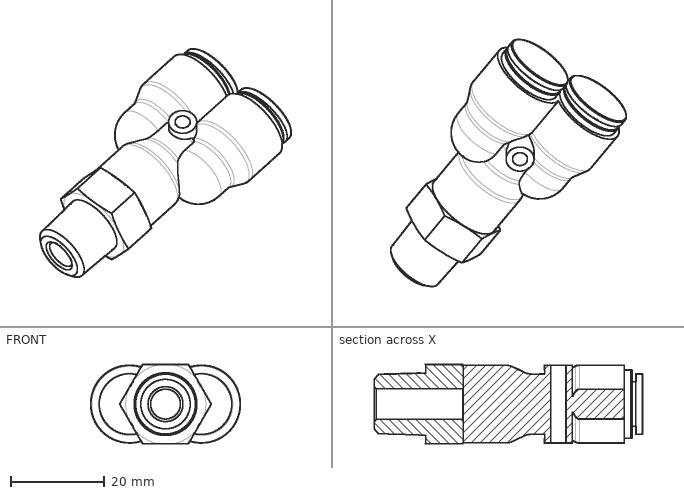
import cadquery as cq
import math


BODY_DIAMETER = 16.7
WAIST_DIAMETER = 13.0
BRANCH_OFFSET = 7.7

SEAM_ANGLE = 60.0

HOUSING_START = 19.0
HOUSING_END = 53.6
STEM_CONE_LARGE = 29.0
STEM_CONE_SMALL = 33.0
STEM_END = 39.5
STEM_END_FILLET = 1.0
DOME_CENTER = 36.0
BRANCH_CONE_SMALL = 39.55
BRANCH_CONE_LARGE = 43.55
CONE_FILLET = 2.0

EYE_Y = STEM_END
EYE_DIAMETER = 6.0
EYE_HOLE_DIAMETER = 3.2

INSERT_DIAMETER = 14.7
INSERT_LENGTH = 1.7
INSERT_CHAMFER_LENGTH = 0.3
INSERT_CHAMFER_DEPTH = 0.1

NECK_DIAMETER = 9.6
NECK_LENGTH = 0.8
FLANGE_WIDTH = 15.0
FLANGE_HEIGHT = 13.0
FLANGE_THICKNESS = 1.5
FLANGE_CHAMFER = 0.2

HEX_ACROSS_FLATS = 17.0
HEX_LENGTH = 8.0
HEX_CHAMFER_DIAMETER = 17.2
HEX_CHAMFER_ANGLE = 15.0
THREAD_LENGTH = HOUSING_START - HEX_LENGTH
THREAD_ROOT_DIAMETER = 13.45
THREAD_TAPER = 1 / 16
TIP_CHAMFER_LENGTH = 0.9
TIP_FACE_DIAMETER = 10.6
BORE_DIAMETER = 6.4
BORE_MOUTH_DIAMETER = 7.5
BORE_CHAMFER = 0.5
BORE_DEPTH = HOUSING_START


def revolve_on_y(profile):
    """Turn a closed XY profile around the Y axis, with the seam line tilted off the planes of symmetry."""
    turned = profile.close().revolve(360, (0, 0, 0), (0, 1, 0))
    return turned.rotate((0, 0, 0), (0, 1, 0), SEAM_ANGLE)


def cylinder_on_y(diameter, start, length):
    """Cylinder around the Y axis from Y = start towards +Y."""
    disc = cq.Workplane("XZ", origin=(0, start, 0)).circle(diameter / 2)
    return disc.extrude(-length)


def add_cone(profile, start, end):
    """Continue a profile over a cone from start to end, blended into the Y-parallel lines beside it."""
    run = end[0] - start[0]
    rise = end[1] - start[1]
    slant = math.hypot(run, rise)
    tangent = CONE_FILLET * math.tan(math.acos(rise / slant) / 2)
    step_out = tangent * run / slant
    step_up = tangent * rise / slant
    return (
        profile.lineTo(start[0], start[1] - tangent)
        .tangentArcPoint((start[0] + step_out, start[1] + step_up), relative=False)
        .lineTo(end[0] - step_out, end[1] - step_up)
        .tangentArcPoint((end[0], end[1] + tangent), relative=False)
    )


def make_stem():
    body_radius = BODY_DIAMETER / 2
    waist_radius = WAIST_DIAMETER / 2
    profile = cq.Workplane("XY").moveTo(0, HOUSING_START).lineTo(body_radius, HOUSING_START)
    profile = add_cone(profile, (body_radius, STEM_CONE_LARGE), (waist_radius, STEM_CONE_SMALL))
    return revolve_on_y(
        profile.lineTo(waist_radius, STEM_END - STEM_END_FILLET)
        .tangentArcPoint((waist_radius - STEM_END_FILLET, STEM_END), relative=False)
        .lineTo(0, STEM_END)
    )


def make_branch(center_x):
    body_radius = BODY_DIAMETER / 2
    waist_radius = WAIST_DIAMETER / 2
    dome_bulge = waist_radius * math.sqrt(0.5)
    profile = (
        cq.Workplane("XY")
        .moveTo(0, DOME_CENTER - waist_radius)
        .threePointArc((dome_bulge, DOME_CENTER - dome_bulge), (waist_radius, DOME_CENTER))
    )
    profile = add_cone(profile, (waist_radius, BRANCH_CONE_SMALL), (body_radius, BRANCH_CONE_LARGE))
    profile = profile.lineTo(body_radius, HOUSING_END).lineTo(0, HOUSING_END)
    return revolve_on_y(profile).translate((center_x, 0, 0))


def make_housing():
    eye_plane = cq.Workplane("XY", origin=(0, EYE_Y, 0))
    eye = eye_plane.circle(EYE_DIAMETER / 2).extrude(BODY_DIAMETER / 2, both=True)
    eye_hole = eye_plane.circle(EYE_HOLE_DIAMETER / 2).extrude(BODY_DIAMETER, both=True)
    housing = make_stem()
    for side in (-1, 1):
        housing = housing.union(make_branch(side * BRANCH_OFFSET))
    return housing.union(eye).cut(eye_hole)


def make_insert(center_x):
    radius = INSERT_DIAMETER / 2
    end = HOUSING_END + INSERT_LENGTH
    profile = (
        cq.Workplane("XY")
        .moveTo(0, HOUSING_END)
        .lineTo(radius, HOUSING_END)
        .lineTo(radius, end - INSERT_CHAMFER_LENGTH)
        .lineTo(radius - INSERT_CHAMFER_DEPTH, end)
        .lineTo(0, end)
    )
    return revolve_on_y(profile).translate((center_x, 0, 0))


def make_button(center_x):
    neck_start = HOUSING_END + INSERT_LENGTH
    flange_start = neck_start + NECK_LENGTH
    neck = cylinder_on_y(NECK_DIAMETER, neck_start, NECK_LENGTH)
    flange = (
        cq.Workplane("XZ", origin=(0, flange_start, 0))
        .ellipse(FLANGE_WIDTH / 2, FLANGE_HEIGHT / 2)
        .extrude(-FLANGE_THICKNESS)
        .faces(">Y")
        .edges()
        .chamfer(FLANGE_CHAMFER)
    )
    return neck.union(flange).translate((center_x, 0, 0))


def make_hex():
    """Hexagon with corners on X, both ends turned to a shallow cone."""
    corner_radius = HEX_ACROSS_FLATS / math.sqrt(3)
    chamfer_radius = HEX_CHAMFER_DIAMETER / 2
    chamfer_length = (corner_radius - chamfer_radius) * math.tan(math.radians(HEX_CHAMFER_ANGLE))
    prism = (
        cq.Workplane("XZ", origin=(0, THREAD_LENGTH, 0))
        .polygon(6, 2 * corner_radius)
        .extrude(-HEX_LENGTH)
    )
    envelope = revolve_on_y(
        cq.Workplane("XY")
        .moveTo(0, THREAD_LENGTH)
        .lineTo(chamfer_radius, THREAD_LENGTH)
        .lineTo(corner_radius, THREAD_LENGTH + chamfer_length)
        .lineTo(corner_radius, HOUSING_START - chamfer_length)
        .lineTo(chamfer_radius, HOUSING_START)
        .lineTo(0, HOUSING_START)
    )
    return prism.intersect(envelope)


def make_adapter():
    root_radius = THREAD_ROOT_DIAMETER / 2
    front_radius = root_radius - (THREAD_LENGTH - TIP_CHAMFER_LENGTH) * THREAD_TAPER / 2
    thread = revolve_on_y(
        cq.Workplane("XY")
        .lineTo(TIP_FACE_DIAMETER / 2, 0)
        .lineTo(front_radius, TIP_CHAMFER_LENGTH)
        .lineTo(root_radius, THREAD_LENGTH)
        .lineTo(0, THREAD_LENGTH)
    )
    bore = revolve_on_y(
        cq.Workplane("XY")
        .lineTo(BORE_MOUTH_DIAMETER / 2, 0)
        .lineTo(BORE_DIAMETER / 2, BORE_CHAMFER)
        .lineTo(BORE_DIAMETER / 2, BORE_DEPTH)
        .lineTo(0, BORE_DEPTH)
    )
    return make_hex().union(thread).cut(bore)


housing = make_housing()
adapter = make_adapter()
branch_centers = (-BRANCH_OFFSET, BRANCH_OFFSET)
inserts = [make_insert(x).val() for x in branch_centers]
buttons = [make_button(x).val() for x in branch_centers]

result = cq.Compound.makeCompound([housing.val(), adapter.val(), *inserts, *buttons])